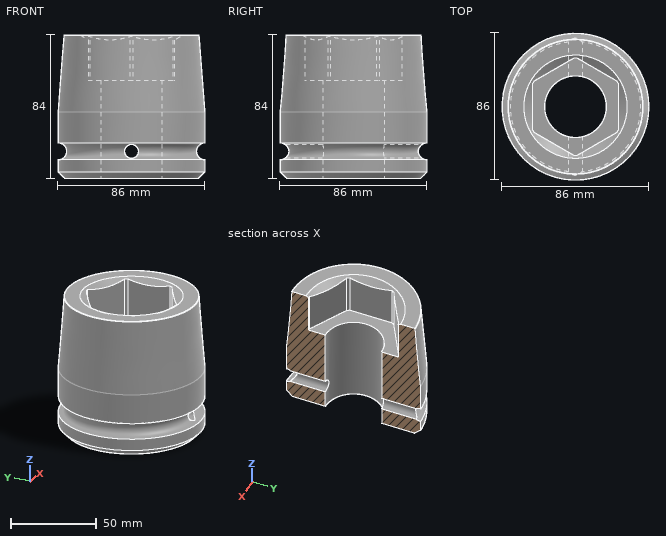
import cadquery as cq
import math

body_radius = 43.0
height = 84.0
base_chamfer = 3.9
shoulder_z = 39.05
nose_radius = 39.6
nose_chamfer = 0.3

groove_z = 15.9
groove_radius = 4.9
pin_hole_diameter = 8.0

hex_across_flats = 50.2
hex_corner_diameter = 56.9
socket_depth = 26.75
lead_in_diameter = 60.5
lead_in_angle = 30.0
bore_diameter = 35.95


def make_body():
    """Revolve the half section, with its round groove and tapered nose, about Z."""
    nose_top_z = height - nose_chamfer
    return (
        cq.Workplane("XZ")
        .lineTo(body_radius - base_chamfer, 0)
        .lineTo(body_radius, base_chamfer)
        .lineTo(body_radius, groove_z - groove_radius)
        .threePointArc(
            (body_radius - groove_radius, groove_z),
            (body_radius, groove_z + groove_radius),
        )
        .lineTo(body_radius, shoulder_z)
        .lineTo(nose_radius, nose_top_z)
        .lineTo(nose_radius - nose_chamfer, height)
        .lineTo(0, height)
        .close()
        .revolve(360, (0, 0, 0), (0, 1, 0))
    )


def make_hex_socket():
    """Hexagonal prism with corners on the Y axis, trimmed by a cylinder."""
    sharp_corner_diameter = hex_across_flats / math.cos(math.radians(30))
    floor = cq.Workplane("XY").workplane(offset=height - socket_depth)
    prism = (
        floor.transformed(rotate=(0, 0, 90))
        .polygon(6, sharp_corner_diameter)
        .extrude(socket_depth)
    )
    corner_limit = floor.circle(hex_corner_diameter / 2).extrude(socket_depth)
    return prism.intersect(corner_limit)


def make_lead_in():
    """Shallow cone that opens the socket mouth."""
    mouth_radius = lead_in_diameter / 2
    cone_depth = mouth_radius * math.tan(math.radians(lead_in_angle))
    return (
        cq.Workplane("XZ")
        .moveTo(0, height)
        .lineTo(mouth_radius, height)
        .lineTo(0, height - cone_depth)
        .close()
        .revolve(360, (0, 0, 0), (0, 1, 0))
    )


def make_pin_hole():
    """Cross hole along Y, through both walls at the groove."""
    return (
        cq.Workplane("XZ")
        .center(0, groove_z)
        .circle(pin_hole_diameter / 2)
        .extrude(body_radius, both=True)
    )


bore = cq.Workplane("XY").circle(bore_diameter / 2).extrude(height)

result = (
    make_body()
    .cut(make_hex_socket())
    .cut(make_lead_in())
    .cut(bore)
    .cut(make_pin_hole())
)